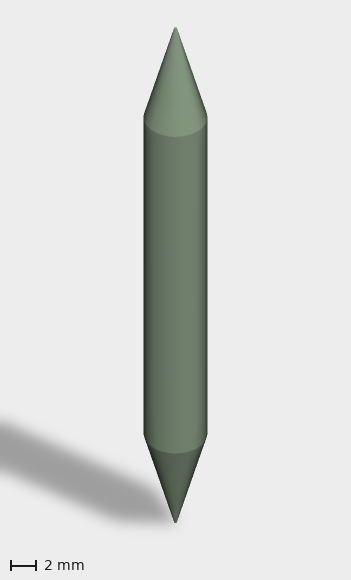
import cadquery as cq

length = 50.0
diameter = 5.0
taper_length = 9.0
tip_radius = 0.1

radius = diameter / 2
half_length = length / 2
shoulder = half_length - taper_length

profile = (
    cq.Workplane("XZ")
    .moveTo(0, -half_length)
    .lineTo(tip_radius, -half_length)
    .lineTo(radius, -shoulder)
    .lineTo(radius, shoulder)
    .lineTo(tip_radius, half_length)
    .lineTo(0, half_length)
    .close()
)

result = profile.revolve(360, (0, 0, 0), (0, 1, 0))